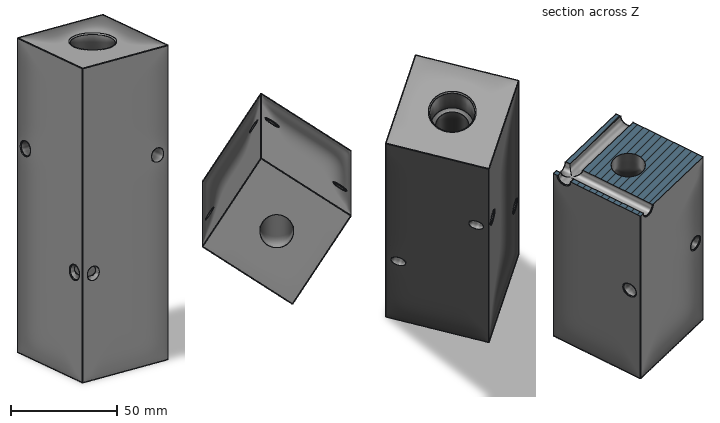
import cadquery as cq

width = 50.8
height = 158.8
edge_break = 0.25

bore_diameter = 15.9
port_diameter = 21.3
port_floor_diameter = 20.5
port_depth = 13.3
port_mouth_diameter = 22.5

cross_diameter = 7.1
cross_mouth_diameter = 8.0
cross_offset = 19.0
cross_rise = 25.4


def chamfered_hole(diameter, floor_diameter, mouth_diameter, depth):
    """Cutter going down from the origin: a 45 degree mouth chamfer, then a wall to the floor."""
    radius = diameter / 2
    floor_radius = floor_diameter / 2
    mouth_radius = mouth_diameter / 2
    chamfer = mouth_radius - radius
    outline = [
        (0, 0),
        (mouth_radius, 0),
        (radius, -chamfer),
        (floor_radius, -depth),
        (0, -depth),
    ]
    return cq.Workplane("XZ").polyline(outline).close().revolve(360, (0, 0), (0, 1))


def make_block():
    """Square block with every outer edge lightly chamfered."""
    block = cq.Workplane("XY").box(width, width, height, centered=(True, True, False))
    return block.edges().chamfer(edge_break)


def cut_main_bore(body):
    """Through bore and the tapered port at its upper end."""
    bore = cq.Workplane("XY").circle(bore_diameter / 2).extrude(height)
    port = chamfered_hole(port_diameter, port_floor_diameter, port_mouth_diameter, port_depth)
    return body.cut(bore).cut(port.translate((0, 0, height)))


def cut_cross_holes(body):
    """Diagonal pairs of through holes entering the -Y and -X faces."""
    hole = chamfered_hole(cross_diameter, cross_diameter, cross_mouth_diameter, width)
    along_y = hole.rotate((0, 0, 0), (1, 0, 0), 90)
    along_x = along_y.rotate((0, 0, 0), (0, 0, 1), -90)
    for side in (1, -1):
        level = height / 2 + side * cross_rise
        body = body.cut(along_y.translate((-side * cross_offset, -width / 2, level)))
        body = body.cut(along_x.translate((-width / 2, side * cross_offset, level)))
    return body


result = cut_cross_holes(cut_main_bore(make_block()))